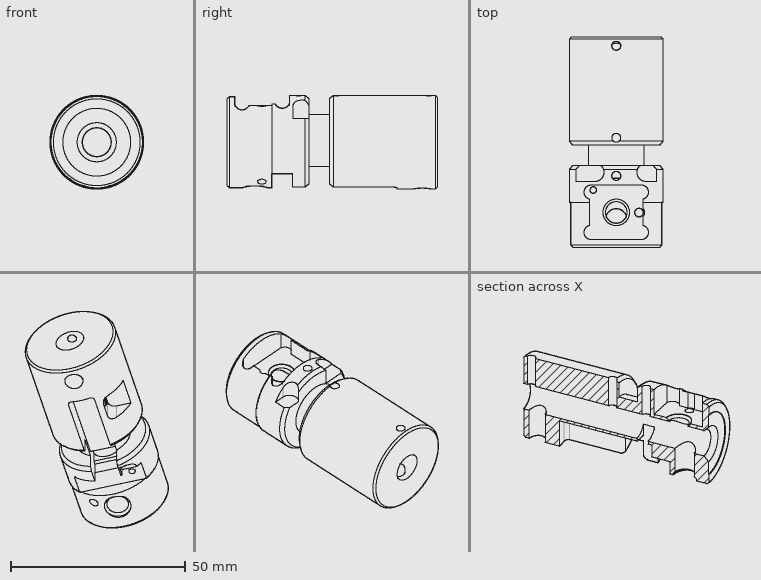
import cadquery as cq
import math

length = 60.5
body_diameter = 26.9
body_radius = body_diameter / 2
nose_radius = 13.1
neck_radius = 8.0
nose_end = 12.95
collar_end = 23.6
sleeve_start = 29.4
nose_chamfer = (0.65, 0.8)
shoulder_chamfer = (0.9, 1.15)
rear_chamfer = 0.6
clear = body_diameter

bore_radius = 4.1
bore_mouth_radius = 5.6
face_recess_radius = 9.75
face_recess_depth = 0.25

pocket_floor = 5.3
pocket_front = 2.3
pocket_back = 17.95
pocket_half_width = 7.75
lobe_radius = 2.05
lobe_x = 7.2

port_y = 10.1
lower_port_y = 8.05
port_radius = 3.1
port_chamfer = 0.7
port_rim_z = 5.2
lower_port_rim_z = -12.6
large_pin = (6.55, 10.05)
large_pin_radius = 1.2
pin_relief_radius = 1.65
small_pin = (-6.6, 16.5)
small_pin_radius = 0.9

radial_hole_radius = 1.3
front_hole_y = 20.6
middle_hole_y = 31.5
rear_hole_y = 57.95
rear_opening_y = 56.1
rear_opening_radius = 2.6
front_opening_start = 19.95

side_cutter_radius = 2.6
side_notch_y = 21.6
side_notch_floor = 6.85
left_notch_tip = -3.5
right_notch_tip = 5.9

under_notch_end = 18.8
under_notch_z = -9.1
key_slot_half_width = 3.9
key_slot_end = 48.8
key_slot_corner = 1.2
key_slot_floor = -5.15
relief_radius = 2.6
relief_z = -12.95
relief_depth_x = -4.25

side_pocket_front = 38.3
side_pocket_back = 46.75
side_pocket_wall = -5.75
side_pocket_roof = -5.75
side_pocket_corner = 2.05
dimple_radius = 0.6
dimple_depth = 0.3
dimple_spacing = 1.45
dimple_top_z = -7.75


def box(x_range, y_range, z_range):
    """Axis-aligned block from three (low, high) ranges."""
    low, high = zip(x_range, y_range, z_range)
    size = [b - a for a, b in zip(low, high)]
    return cq.Workplane("XY").box(*size, centered=False).translate(low)


def vertical_cylinder(x, y, radius, z_low, z_high):
    """Cylinder along Z."""
    return cq.Workplane("XY", origin=(x, y, z_low)).circle(radius).extrude(z_high - z_low)


def x_cylinder(y, z, radius, x_low, x_high):
    """Cylinder along X."""
    return cq.Workplane("YZ", origin=(x_low, y, z)).circle(radius).extrude(x_high - x_low)


def turned_body():
    shoulder_radius = body_radius - shoulder_chamfer[0]
    profile = [
        (0, 0),
        (nose_radius - nose_chamfer[0], 0),
        (nose_radius, nose_chamfer[1]),
        (nose_radius, nose_end),
        (body_radius, nose_end),
        (body_radius, collar_end - shoulder_chamfer[1]),
        (shoulder_radius, collar_end),
        (neck_radius, collar_end),
        (neck_radius, sleeve_start),
        (shoulder_radius, sleeve_start),
        (body_radius, sleeve_start + shoulder_chamfer[1]),
        (body_radius, length - rear_chamfer),
        (body_radius - rear_chamfer, length),
        (0, length),
    ]
    return cq.Workplane("XY").polyline(profile).close().revolve(360, (0, 0, 0), (0, 1, 0))


def bore():
    mouth_end = face_recess_depth + bore_mouth_radius - bore_radius
    profile = [
        (0, 0),
        (face_recess_radius, 0),
        (face_recess_radius, face_recess_depth),
        (bore_mouth_radius, face_recess_depth),
        (bore_radius, mouth_end),
        (bore_radius, length),
        (0, length),
    ]
    return cq.Workplane("XY").polyline(profile).close().revolve(360, (0, 0, 0), (0, 1, 0))


def top_pocket():
    pocket = box(
        (-pocket_half_width, pocket_half_width),
        (pocket_front, pocket_back),
        (pocket_floor, clear),
    )
    for x in (-lobe_x, lobe_x):
        for y in (pocket_front + lobe_radius, pocket_back - lobe_radius):
            pocket = pocket.union(vertical_cylinder(x, y, lobe_radius, pocket_floor, clear))
    return pocket.union(vertical_cylinder(*large_pin, pin_relief_radius, pocket_floor, clear))


def port(y, rim_z):
    """Hole from the axis out past rim_z, chamfered up to a wider rim; the sign of rim_z picks the side."""
    side = math.copysign(1, rim_z)
    rim_radius = port_radius + port_chamfer
    profile = [
        (0, 0),
        (port_radius, 0),
        (port_radius, rim_z - side * port_chamfer),
        (rim_radius, rim_z),
        (rim_radius, side * clear),
        (0, side * clear),
    ]
    turned = cq.Workplane("XZ").polyline(profile).close().revolve(360, (0, 0, 0), (0, 1, 0))
    return turned.translate((0, y, 0))


def pocket_holes():
    holes = port(port_y, port_rim_z).union(port(lower_port_y, lower_port_rim_z))
    for pin, radius in ((large_pin, large_pin_radius), (small_pin, small_pin_radius)):
        holes = holes.union(vertical_cylinder(*pin, radius, -clear, clear))
    return holes


def radial_holes():
    holes = vertical_cylinder(0, rear_opening_y, rear_opening_radius, -clear, 0)
    for y in (front_hole_y, middle_hole_y, rear_hole_y):
        holes = holes.union(vertical_cylinder(0, y, radial_hole_radius, 0, clear))
    return holes


def side_notch(tip_x, side):
    """Round-ended notch running outward from tip_x; side is -1 or +1 along X."""
    centre_x = tip_x + side * side_cutter_radius
    notch = box(
        sorted((centre_x, side * clear)),
        (side_notch_y - side_cutter_radius, collar_end),
        (side_notch_floor, clear),
    )
    end = vertical_cylinder(centre_x, side_notch_y, side_cutter_radius, side_notch_floor, clear)
    return notch.union(end)


def under_notch():
    notch = box((-clear, clear), (nose_end, under_notch_end), (-clear, under_notch_z))
    relief = x_cylinder(under_notch_end, relief_z, relief_radius, -clear, relief_depth_x)
    behind_notch = box((-clear, clear), (under_notch_end, collar_end), (-clear, 0))
    return notch.union(relief.intersect(behind_notch))


def key_slot():
    across = (-key_slot_half_width, key_slot_half_width)
    slot = box(across, (under_notch_end, key_slot_end), (-clear, key_slot_floor))
    slot = slot.edges("|Z and >Y").fillet(key_slot_corner)
    opening = box(across, (front_opening_start, collar_end), (-clear, 0))
    return slot.union(opening)


def side_pocket():
    pocket = box(
        (-clear, side_pocket_wall),
        (side_pocket_front, side_pocket_back),
        (-clear, side_pocket_roof),
    )
    pocket = pocket.edges("|Z and >X").fillet(side_pocket_corner)
    middle_y = (side_pocket_front + side_pocket_back) / 2
    lower_z = dimple_top_z - dimple_spacing
    dimples = [
        (middle_y - dimple_spacing / 2, dimple_top_z),
        (middle_y + dimple_spacing / 2, dimple_top_z),
        (middle_y, lower_z),
    ]
    for y, z in dimples:
        dimple = x_cylinder(y, z, dimple_radius, side_pocket_wall, side_pocket_wall + dimple_depth)
        pocket = pocket.union(dimple)
    return pocket


cutters = [
    bore(),
    top_pocket(),
    pocket_holes(),
    radial_holes(),
    side_notch(left_notch_tip, -1),
    side_notch(right_notch_tip, 1),
    under_notch(),
    key_slot(),
    side_pocket(),
]

result = turned_body()
for cutter in cutters:
    result = result.cut(cutter)